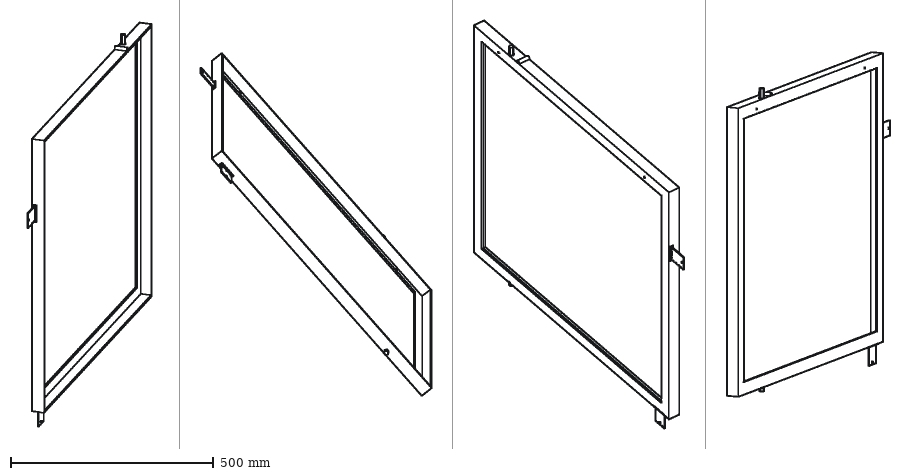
import cadquery as cq
import math

BAR = 32.0
BAR_WALL = 5.0
FRAME_LENGTH = 809.0
FRAME_HEIGHT = 725.0

SCREW_HOLE_DIAMETER = 4.0
SCREW_HOLE_SPACING = 604.0
SCREW_HOLE_DROP = 20.0

FITTING_X = -9.0

SIDE_TAB_LENGTH = 52.0
BOTTOM_TAB_LENGTH = 50.0
TAB_WIDTH = 39.0
TAB_THICKNESS = 3.0
TAB_HOLE_DIAMETER = 4.0
TAB_HOLE_INSET = 6.0
FOOT_LENGTH = 45.0
FOOT_WIDTH = 10.0
FOOT_HEIGHT = 2.0
SIDE_TAB_DROP = 197.0
BOTTOM_TAB_Y = -358.0

POST_ACROSS_FLATS = 10.0
POST_Y = 259.0
TOP_POST_HEIGHT = 25.0
BOTTOM_POST_HEIGHT = 11.0
WASHER_DIAMETER = 14.0
WASHER_HEIGHT = 1.0

STRIP_WIDTH = 9.5
STRIP_HEIGHT = 8.0
STRIP_Y = 221.0

post_across_corners = POST_ACROSS_FLATS / math.cos(math.pi / 6)
strip_radius = STRIP_WIDTH / 2
strip_side_height = STRIP_HEIGHT - strip_radius


def make_strip():
    """Strip along X on the top bar, flush with both sides of the bar."""
    return (
        cq.Workplane("YZ", origin=(-BAR / 2, STRIP_Y, FRAME_HEIGHT))
        .moveTo(-strip_radius, 0)
        .lineTo(-strip_radius, strip_side_height)
        .threePointArc((0, STRIP_HEIGHT), (strip_radius, strip_side_height))
        .lineTo(strip_radius, 0)
        .close()
        .extrude(BAR)
    )


def make_block(inset, x_start, depth):
    """Rectangular block running in +X, its outline set in from the frame's outer edge."""
    return (
        cq.Workplane("YZ", origin=(x_start, 0, FRAME_HEIGHT / 2))
        .rect(FRAME_LENGTH - 2 * inset, FRAME_HEIGHT - 2 * inset)
        .extrude(depth)
    )


def make_angle_frame():
    """L-section frame: a flange on the -X face and a wall around the outer edge."""
    opening = make_block(BAR, -BAR / 2, BAR)
    hollow = make_block(BAR_WALL, -BAR / 2 + BAR_WALL, BAR - BAR_WALL)
    return make_block(0, -BAR / 2, BAR).cut(opening).cut(hollow)


def make_screw_holes():
    """Two holes along X through the flange of the top bar."""
    return (
        cq.Workplane("YZ", origin=(-BAR / 2, 0, FRAME_HEIGHT - SCREW_HOLE_DROP))
        .pushPoints([(-SCREW_HOLE_SPACING / 2, 0), (SCREW_HOLE_SPACING / 2, 0)])
        .circle(SCREW_HOLE_DIAMETER / 2)
        .extrude(BAR_WALL)
    )


def make_tab(length):
    """Tab rising from the origin, flat in the YZ plane."""
    base = (True, True, False)
    plate = cq.Workplane("XY").box(TAB_THICKNESS, TAB_WIDTH, length, centered=base)
    foot = cq.Workplane("XY").box(FOOT_WIDTH, FOOT_LENGTH, FOOT_HEIGHT, centered=base)
    hole = (
        cq.Workplane("YZ", origin=(-TAB_THICKNESS / 2, 0, length - TAB_HOLE_INSET))
        .circle(TAB_HOLE_DIAMETER / 2)
        .extrude(TAB_THICKNESS)
    )
    return plate.union(foot).cut(hole)


def make_post(base_z, height):
    """Hexagonal post; a negative height points down."""
    return (
        cq.Workplane("XY", origin=(FITTING_X, POST_Y, base_z))
        .transformed(rotate=(0, 0, 90))
        .polygon(6, post_across_corners)
        .extrude(height)
    )


def make_washer():
    """Thin washer around the base of the top post."""
    return (
        cq.Workplane("XY", origin=(FITTING_X, POST_Y, FRAME_HEIGHT))
        .circle(WASHER_DIAMETER / 2)
        .extrude(WASHER_HEIGHT)
    )


def make_frame():
    """Frame with its tabs, posts and screw holes."""
    side_tab = (
        make_tab(SIDE_TAB_LENGTH)
        .rotate((0, 0, 0), (1, 0, 0), 90)
        .translate((FITTING_X, -FRAME_LENGTH / 2, FRAME_HEIGHT - SIDE_TAB_DROP))
    )
    bottom_tab = (
        make_tab(BOTTOM_TAB_LENGTH)
        .rotate((0, 0, 0), (1, 0, 0), 180)
        .translate((FITTING_X, BOTTOM_TAB_Y, 0))
    )
    return (
        make_angle_frame()
        .cut(make_screw_holes())
        .union(side_tab)
        .union(bottom_tab)
        .union(make_washer())
        .union(make_post(FRAME_HEIGHT, TOP_POST_HEIGHT))
        .union(make_post(0, -BOTTOM_POST_HEIGHT))
    )


frame = make_frame()
strip = make_strip()

result = cq.Compound.makeCompound([frame.val(), strip.val()])